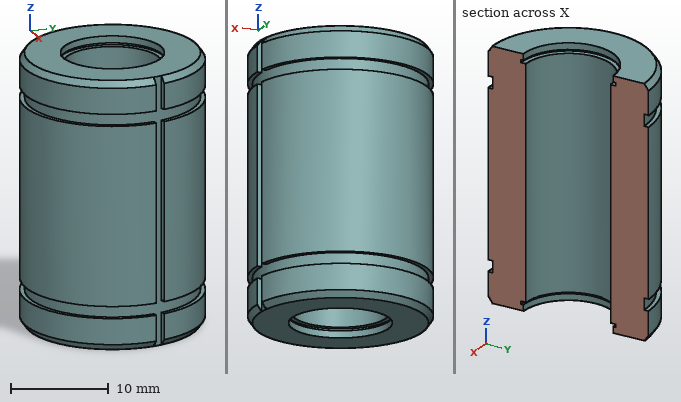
import cadquery as cq
import math

length = 29.0
outer_diameter = 19.0
bore_diameter = 10.0

end_face_diameter = 18.0
chamfer_height = 0.7

groove_diameter = 18.0
groove_width = 1.3
groove_span = 22.0

lip_diameter = 10.6
lip_height = 0.75
undercut_diameter = 11.2
recess_depth = 1.05

slot_floor_diameter = 18.0
slot_start_angle = 7.0
slot_end_angle = 12.8

outer_radius = outer_diameter / 2
half_length = length / 2


def disc(diameter, bottom, height):
    """Cylinder on the Z axis, starting at the given Z."""
    return cq.Workplane("XY").workplane(offset=bottom).circle(diameter / 2).extrude(height)


def sleeve_body():
    """Solid cylinder with chamfered ends."""
    end_radius = end_face_diameter / 2
    chamfer_z = half_length - chamfer_height
    return (
        cq.Workplane("XZ")
        .moveTo(0, -half_length)
        .lineTo(end_radius, -half_length)
        .lineTo(outer_radius, -chamfer_z)
        .lineTo(outer_radius, chamfer_z)
        .lineTo(end_radius, half_length)
        .lineTo(0, half_length)
        .close()
        .revolve(360, (0, 0), (0, 1))
    )


def upper_groove():
    """Ring removed for the upper retaining-ring groove."""
    bottom = groove_span / 2 - groove_width
    ring = disc(outer_diameter, bottom, groove_width)
    return ring.cut(disc(groove_diameter, bottom, groove_width))


def upper_recess():
    """Lip opening and undercut removed at the upper end of the bore."""
    lip_bottom = half_length - lip_height
    recess_bottom = half_length - recess_depth
    opening = disc(lip_diameter, lip_bottom, lip_height)
    undercut = disc(undercut_diameter, recess_bottom, lip_bottom - recess_bottom)
    return opening.union(undercut)


def lengthwise_slot():
    """Full-length sector removed between the slot floor and the outer surface."""
    reach = outer_diameter
    start = math.radians(slot_start_angle)
    end = math.radians(slot_end_angle)
    wedge = (
        cq.Workplane("XY")
        .workplane(offset=-half_length)
        .moveTo(0, 0)
        .lineTo(reach * math.cos(start), reach * math.sin(start))
        .lineTo(reach * math.cos(end), reach * math.sin(end))
        .close()
        .extrude(length)
    )
    return wedge.cut(disc(slot_floor_diameter, -half_length, length))


result = sleeve_body().cut(disc(bore_diameter, -half_length, length))
for upper_cutter in (upper_groove(), upper_recess()):
    result = result.cut(upper_cutter)
    result = result.cut(upper_cutter.mirror("XY"))
result = result.cut(lengthwise_slot())